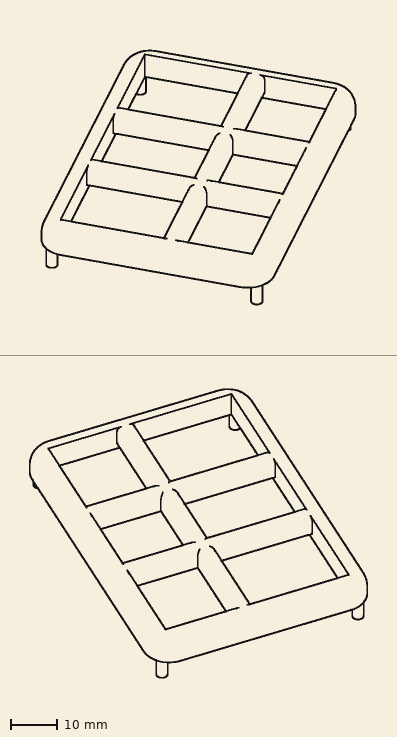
import cadquery as cq

length = 71.85
width = 52.15
frame_height = 6.0
corner_radius = 6.0
top_fillet = 4.0
wall = 4.5

bar_width = 4.0
bar_height = 4.5
bar_fillet = bar_width / 4
upright_x = 3.4
crossbar_y = 9.85

pin_diameter = 2.5
pin_length = 5.25
pin_inset = 3.0

window_width = width - 2 * wall
window_length = length - 2 * wall


def rounded_slab():
    """Solid block with round corners and a rounded top rim, base at Z = 0."""
    slab = cq.Workplane("XY").box(width, length, frame_height, centered=(True, True, False))
    return slab.edges("|Z").fillet(corner_radius).faces(">Z").edges().fillet(top_fillet)


def divider(size_x, size_y, x, y, long_axis):
    """Bar across the window, flush with the frame top, its two long top edges rounded."""
    bar = cq.Workplane("XY").box(size_x, size_y, bar_height, centered=(True, True, False))
    bar = bar.faces(">Z").edges("|" + long_axis).fillet(bar_fillet)
    return bar.translate((x, y, frame_height - bar_height))


def pins():
    """Four pins hanging below the frame, one near each corner."""
    spacing_x = width - 2 * pin_inset
    spacing_y = length - 2 * pin_inset
    return (
        cq.Workplane("XY")
        .rect(spacing_x, spacing_y, forConstruction=True)
        .vertices()
        .circle(pin_diameter / 2)
        .extrude(-pin_length)
    )


window = cq.Workplane("XY").rect(window_width, window_length).extrude(frame_height)
result = rounded_slab().cut(window)
result = result.union(divider(bar_width, window_length, upright_x, 0, "Y"))
for y in (-crossbar_y, crossbar_y):
    result = result.union(divider(window_width, bar_width, 0, y, "X"))
result = result.union(pins())